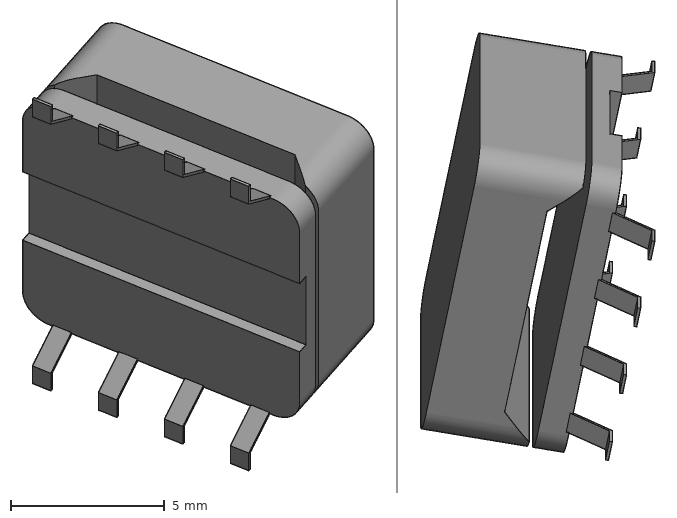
import cadquery as cq
import math

total_height = 12.5
total_depth = 6.0
body_width = 10.5
body_height = 9.5
corner_radius = 1.0

cover_depth = 3.5
layer_gap = 0.2
base_depth = 1.0

slot_floor_width = 7.5
slot_depth = 1.0
slot_mouth_width = slot_floor_width + 2 * slot_depth

groove_height = 3.0
groove_depth = 0.4

leads_per_row = 4
lead_pitch = 2.5
lead_width = 0.7
lead_thickness = 0.1
lead_angle = 31.0
foot_length = 0.78
root_depth = 0.25

foot_front = -total_depth / 2
cover_back = total_depth / 2
cover_front = cover_back - cover_depth
base_back = cover_front - layer_gap
base_front = base_back - base_depth


def rounded_block(front, depth):
    """Block with rounded X-Z corners, reaching back along +Y from its front face."""
    return (
        cq.Workplane("XY")
        .box(body_width, depth, body_height)
        .edges("|Y")
        .fillet(corner_radius)
        .translate((0, front + depth / 2, 0))
    )


def make_cover():
    """Cover with a trapezoidal slot running through its full height."""
    slot_floor = cover_front + slot_depth
    slot = (
        cq.Workplane("XY")
        .polyline([
            (-slot_mouth_width / 2, cover_front),
            (slot_mouth_width / 2, cover_front),
            (slot_floor_width / 2, slot_floor),
            (-slot_floor_width / 2, slot_floor),
        ])
        .close()
        .extrude(body_height / 2, both=True)
    )
    return rounded_block(cover_front, cover_depth).cut(slot)


def make_upper_lead(x_center):
    """Lead sloping up and forwards from the base to a vertical foot."""
    angle = math.radians(lead_angle)
    slope = math.tan(angle)
    tip = total_height / 2
    foot_back = foot_front + lead_thickness
    root_back = base_front + root_depth
    outer_bend = tip - foot_length
    upper_offset = lead_thickness / math.cos(angle)
    inner_bend = outer_bend + upper_offset - slope * lead_thickness
    root_bottom = outer_bend - slope * (root_back - foot_front)
    profile = [
        (foot_front, tip),
        (foot_front, outer_bend),
        (root_back, root_bottom),
        (root_back, root_bottom + upper_offset),
        (foot_back, inner_bend),
        (foot_back, tip),
    ]
    return (
        cq.Workplane("YZ", origin=(x_center, 0, 0))
        .polyline(profile)
        .close()
        .extrude(lead_width / 2, both=True)
    )


def make_base():
    """Grooved base with a row of leads along its top and bottom edges."""
    base = rounded_block(base_front, base_depth)
    groove = (
        cq.Workplane("XY")
        .box(body_width, groove_depth, groove_height)
        .translate((0, base_front + groove_depth / 2, 0))
    )
    base = base.cut(groove)
    for index in range(leads_per_row):
        x_center = (index - (leads_per_row - 1) / 2) * lead_pitch
        upper_lead = make_upper_lead(x_center)
        base = base.union(upper_lead).union(upper_lead.mirror("XY"))
    return base


cover = make_cover()
base = make_base()
result = cq.Compound.makeCompound([cover.val(), *base.vals()])